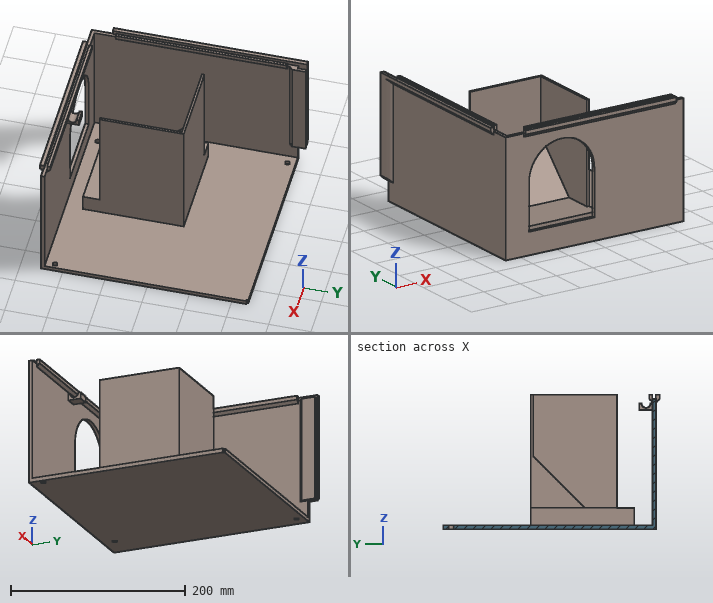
import cadquery as cq
import math

box_side = 245.0
wall_top = 150.0
wall = 4.5
floor_thickness = 5.0
corner_notch = 2.0

outer_rail_thickness = 5.0
inner_rail_thickness = 3.5
rail_overhang = 4.1
rail_top = 155.0
outer_rail_start = 25.1
inner_rail_start = 30.3
rail_end = 232.8

plate_end = 255.0
plate_bottom = 25.1
plate_blend_radius = 10.0
outer_plate_flat_start = 243.0
inner_plate_ramp_start = 235.4

arch_center_x = 77.2
arch_radius = 45.0
arch_top = 134.0
arch_sill = 28.8

platform_start = 25.1
platform_end = 144.5
platform_top = 25.0
screen_thickness = 2.9
screen_start = 44.8
ramp_start_y = 82.2

cradle_start_x = 126.7
cradle_end_x = 141.5
cradle_end_y = 19.7
cradle_top = 145.0
cradle_height = 7.8
cradle_trough_y = 11.7
cradle_trough_diameter = 10.0

hole_diameter = 5.5
hole_centers = [(15.3, 235.4), (33.2, 15.3), (238.7, 15.3)]


def box_between(low, high):
    """Axis-aligned box from its lowest corner to its highest corner."""
    sizes = [end - start for start, end in zip(low, high)]
    return cq.Workplane("XY").box(*sizes, centered=False).translate(low)


def swap_x_and_y(body):
    """Mirror across the vertical plane x = y, taking the front wall to the left wall."""
    return body.mirror("XY").rotate((0, 0, 0), (1, 1, 0), 180)


def extrude_along_x(points, start, end):
    """Extrude a closed (y, z) outline from x = start to x = end."""
    return cq.Workplane("YZ").workplane(offset=start).polyline(points).close().extrude(end - start)


def outer_rail(end):
    """Front outer rail: overhangs the wall on a 45 degree underside."""
    inner_face = outer_rail_thickness - rail_overhang
    outline = [
        (-rail_overhang, rail_top),
        (-rail_overhang, wall_top),
        (0, wall_top - rail_overhang),
        (inner_face, wall_top - rail_overhang),
        (inner_face, rail_top),
    ]
    return extrude_along_x(outline, outer_rail_start, end)


def inner_rail():
    """Front inner rail: stands off the inner wall face on a 45 degree underside."""
    outline = [
        (wall, rail_top),
        (wall, wall_top - inner_rail_thickness),
        (wall + inner_rail_thickness, wall_top),
        (wall + inner_rail_thickness, rail_top),
    ]
    return extrude_along_x(outline, inner_rail_start, rail_end)


def outer_plate():
    """Vertical plate on the outer face of the left wall, rounded down to it at the front."""
    blend_angle = math.acos(1 - rail_overhang / plate_blend_radius)

    def blend_point(angle):
        return (
            plate_blend_radius * (1 - math.cos(angle)) - rail_overhang,
            outer_plate_flat_start - plate_blend_radius * math.sin(angle),
        )

    inner_face = outer_rail_thickness - rail_overhang
    plate = (
        cq.Workplane("XY")
        .workplane(offset=plate_bottom)
        .moveTo(-rail_overhang, plate_end)
        .lineTo(-rail_overhang, outer_plate_flat_start)
        .threePointArc(blend_point(blend_angle / 2), blend_point(blend_angle))
        .lineTo(inner_face, blend_point(blend_angle)[1])
        .lineTo(inner_face, plate_end)
        .close()
        .extrude(wall_top - plate_bottom)
    )
    underside = (
        cq.Workplane("XZ")
        .polyline([
            (-rail_overhang, plate_bottom),
            (0, plate_bottom),
            (-rail_overhang, plate_bottom + rail_overhang),
        ])
        .close()
        .extrude(-plate_end)
    )
    return plate.cut(underside)


def inner_plate():
    """Vertical plate on the inner face of the left wall, with a 45 degree ramp at the front."""
    return (
        cq.Workplane("XY")
        .workplane(offset=plate_bottom)
        .polyline([
            (wall, plate_end),
            (wall, inner_plate_ramp_start),
            (wall + inner_rail_thickness, inner_plate_ramp_start + inner_rail_thickness),
            (wall + inner_rail_thickness, plate_end),
        ])
        .close()
        .extrude(wall_top - plate_bottom)
    )


def arch_opening():
    """Round-topped cutter through the front wall."""
    left = arch_center_x - arch_radius
    right = arch_center_x + arch_radius
    spring_line = arch_top - arch_radius
    return (
        cq.Workplane("XZ")
        .moveTo(left, arch_sill)
        .lineTo(left, spring_line)
        .threePointArc((arch_center_x, arch_top), (right, spring_line))
        .lineTo(right, arch_sill)
        .close()
        .extrude(-wall)
    )


def platform():
    """Square platform with a 45 degree ramp up to a rear screen, and a right-hand screen."""
    inner_face = platform_end - screen_thickness
    base = box_between((platform_start, platform_start, 0), (platform_end, platform_end, platform_top))
    right_screen = box_between((inner_face, screen_start, 0), (platform_end, platform_end, rail_top))
    rear_screen = box_between((screen_start, inner_face, 0), (platform_end, platform_end, rail_top))
    ramp_outline = [
        (ramp_start_y, platform_top),
        (inner_face, platform_top),
        (inner_face, platform_top + inner_face - ramp_start_y),
    ]
    ramp = extrude_along_x(ramp_outline, screen_start, inner_face)
    return base.union(right_screen).union(rear_screen).union(ramp)


def cradle():
    """Block on the front wall with a half-round trough along X in its top."""
    block = box_between(
        (cradle_start_x, wall, cradle_top - cradle_height),
        (cradle_end_x, cradle_end_y, cradle_top),
    )
    trough = (
        cq.Workplane("YZ")
        .workplane(offset=cradle_start_x)
        .center(cradle_trough_y, cradle_top)
        .circle(cradle_trough_diameter / 2)
        .extrude(cradle_end_x - cradle_start_x)
    )
    return block.cut(trough)


floor = box_between((0, 0, 0), (box_side, box_side, floor_thickness))
notch_start = box_side - corner_notch
notch = box_between((notch_start, notch_start, 0), (box_side, box_side, floor_thickness))
front_wall = box_between((0, 0, 0), (box_side, wall, wall_top)).cut(arch_opening())
left_wall = box_between((0, 0, 0), (wall, box_side, wall_top))
body = floor.cut(notch).union(front_wall).union(left_wall)

body = body.union(outer_rail(rail_end)).union(inner_rail())
body = body.union(swap_x_and_y(outer_rail(plate_end))).union(swap_x_and_y(inner_rail()))
body = body.union(outer_plate()).union(inner_plate())

body = body.union(platform()).union(cradle())

holes = cq.Workplane("XY").pushPoints(hole_centers).circle(hole_diameter / 2).extrude(floor_thickness)
result = body.cut(holes)